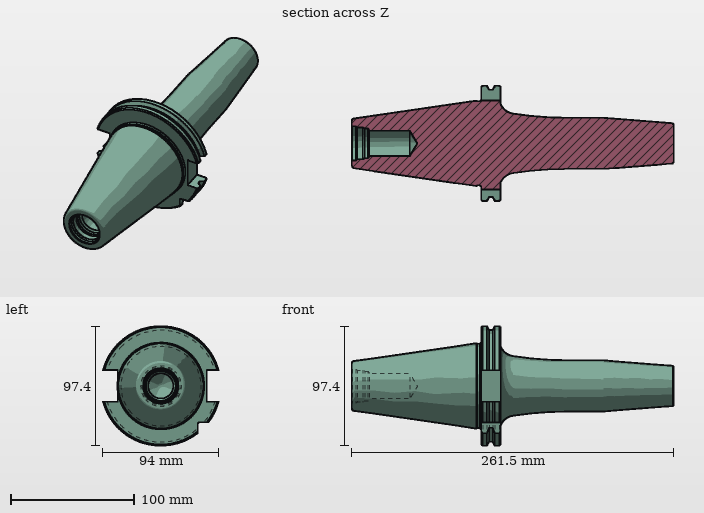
import cadquery as cq
import math

gauge_x = 101.0
gauge_radius = 34.8
taper_slope = 7 / 48
small_end_radius = gauge_radius - gauge_x * taper_slope
end_round = 1.8

neck_radius = 34.3
neck_start = 102.0
neck_end = 103.9
neck_flare_radius = 35.3

flange_start = 105.2
flange_end = 120.9
flange_radius = 48.7
flange_chamfer = 1.0
groove_x = 113.0
groove_depth = 3.1
groove_floor_width = 3.0
groove_wall_angle = 30
groove_half_top = groove_floor_width / 2 + groove_depth * math.tan(math.radians(groove_wall_angle))

root_radius = 32.5
sweep_start = 130.8
sweep_start_radius = 24.3
barrel_start = 175.0
barrel_end = 204.3
barrel_radius = 21.0
nose_angle = 4.5
overall_length = 261.5
nose_tip_radius = barrel_radius - (overall_length - barrel_end) * math.tan(math.radians(nose_angle))
tip_chamfer = 1.0

slot_width = 25.6
slot_floor_front = 37.5
slot_floor_back = 35.0
notch_y = -30.0
notch_z = -29.5
notch_corner_radius = 1.5

bore_mouth_radius = 14.5
mouth_chamfer = 0.5
lead_in_depth = 3.1
pilot_radius = 12.8
pilot_depth = 9.2
thread_relief_radius = 12.0
thread_relief_depth = 13.0
core_radius = 10.2
core_depth = 47.0
step_chamfer = 1.3
drill_point_angle = 118


def make_body():
    """Revolve the outer outline about the X axis."""
    round_x = end_round * (1 - math.sqrt(0.5))
    profile = (
        cq.Workplane("XY")
        .moveTo(0, 0)
        .lineTo(0, small_end_radius - end_round)
        .threePointArc(
            (round_x, small_end_radius - round_x),
            (end_round, small_end_radius + end_round * taper_slope),
        )
        .lineTo(gauge_x, gauge_radius)
        .lineTo(neck_start, neck_radius)
        .lineTo(neck_end, neck_radius)
        .lineTo(flange_start, neck_flare_radius)
        .lineTo(flange_start, flange_radius - flange_chamfer)
        .lineTo(flange_start + flange_chamfer, flange_radius)
        .lineTo(groove_x - groove_half_top, flange_radius)
        .lineTo(groove_x - groove_floor_width / 2, flange_radius - groove_depth)
        .lineTo(groove_x + groove_floor_width / 2, flange_radius - groove_depth)
        .lineTo(groove_x + groove_half_top, flange_radius)
        .lineTo(flange_end - flange_chamfer, flange_radius)
        .lineTo(flange_end, flange_radius - flange_chamfer)
        .lineTo(flange_end, root_radius)
    )
    sweep_length = barrel_start - sweep_start
    sweep_drop = sweep_start_radius - barrel_radius
    sweep_radius = (sweep_length**2 + sweep_drop**2) / (2 * sweep_drop)
    sweep_centre_r = barrel_radius + sweep_radius
    half_angle = math.asin(sweep_length / sweep_radius) / 2
    sweep_mid = (
        barrel_start - sweep_radius * math.sin(half_angle),
        sweep_centre_r - sweep_radius * math.cos(half_angle),
    )
    normal_x = sweep_length / sweep_radius
    normal_r = math.sqrt(1 - normal_x**2)
    chord_x = flange_end - sweep_start
    chord_r = root_radius - sweep_start_radius
    root_fillet = (chord_x**2 + chord_r**2) / (2 * (chord_x * normal_x + chord_r * normal_r))
    centre_x = sweep_start + root_fillet * normal_x
    centre_r = sweep_start_radius + root_fillet * normal_r
    start_angle = math.atan2(root_radius - centre_r, flange_end - centre_x) % (2 * math.pi)
    end_angle = math.atan2(-normal_r, -normal_x) % (2 * math.pi)
    mid_angle = (start_angle + end_angle) / 2
    root_mid = (
        centre_x + root_fillet * math.cos(mid_angle),
        centre_r + root_fillet * math.sin(mid_angle),
    )
    profile = (
        profile.threePointArc(root_mid, (sweep_start, sweep_start_radius))
        .threePointArc(sweep_mid, (barrel_start, barrel_radius))
        .lineTo(barrel_end, barrel_radius)
        .lineTo(overall_length, nose_tip_radius)
        .lineTo(overall_length, 0)
        .close()
    )
    body = profile.revolve(360, (0, 0, 0), (1, 0, 0))
    return body.faces(">X").chamfer(tip_chamfer)


def make_bore():
    """Stepped blind bore ending in a drill point."""
    point_length = core_radius / math.tan(math.radians(drill_point_angle / 2))
    outline = [
        (0, 0),
        (0, bore_mouth_radius),
        (mouth_chamfer, bore_mouth_radius - mouth_chamfer),
        (lead_in_depth, bore_mouth_radius - mouth_chamfer),
        (lead_in_depth + step_chamfer, pilot_radius),
        (pilot_depth, pilot_radius),
        (pilot_depth + step_chamfer, thread_relief_radius),
        (thread_relief_depth, thread_relief_radius),
        (thread_relief_depth + step_chamfer, core_radius),
        (core_depth, core_radius),
        (core_depth + point_length, 0),
    ]
    return cq.Workplane("XY").polyline(outline).close().revolve(360, (0, 0, 0), (1, 0, 0))


def flange_cutter(y_limit, side, z_low, z_high):
    """Box through the flange width, from y_limit outwards on the given side of Y."""
    return cq.Workplane("XY").box(
        flange_end - flange_start, flange_radius, z_high - z_low, centered=(False, True, False)
    ).translate((flange_start, y_limit + side * flange_radius / 2, z_low))


front_slot = flange_cutter(-slot_floor_front, -1, -slot_width / 2, slot_width / 2)
back_slot = flange_cutter(slot_floor_back, 1, -slot_width / 2, slot_width / 2)
notch = flange_cutter(notch_y, -1, -flange_radius, notch_z)
notch = notch.edges("|X and >Y and >Z").fillet(notch_corner_radius)

result = make_body().cut(make_bore()).cut(front_slot).cut(back_slot).cut(notch)